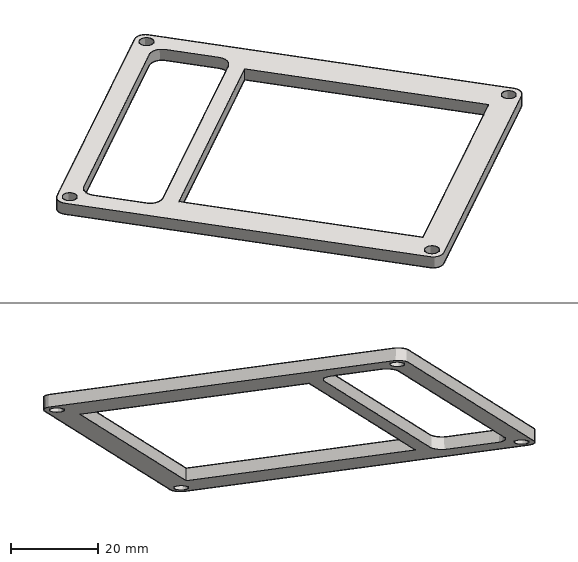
import cadquery as cq

length = 91.8
width = 73.5
thickness = 3.0
corner_radius = 2.6

hole_diameter = 3.4
hole_inset = 2.9

window_size = 57.8
window_right_margin = 6.3
window_front_margin = 7.5

slot_length = 18.7
slot_width = 63.5
slot_left_margin = 5.0
slot_corner_radius = 3.0


def make_plate():
    """Flat plate with rounded corners, centred on the XY origin."""
    plate = cq.Workplane("XY").box(length, width, thickness, centered=(True, True, False))
    return plate.edges("|Z").fillet(corner_radius)


def make_screw_holes():
    """One through hole near each corner."""
    return (
        cq.Workplane("XY")
        .rect(length - 2 * hole_inset, width - 2 * hole_inset, forConstruction=True)
        .vertices()
        .circle(hole_diameter / 2)
        .extrude(thickness)
    )


def make_window():
    """Sharp-cornered square opening."""
    center_x = length / 2 - window_right_margin - window_size / 2
    center_y = -width / 2 + window_front_margin + window_size / 2
    return cq.Workplane("XY").center(center_x, center_y).rect(window_size, window_size).extrude(thickness)


def make_slot():
    """Long opening with rounded corners beside the window."""
    center_x = -length / 2 + slot_left_margin + slot_length / 2
    slot = cq.Workplane("XY").center(center_x, 0).rect(slot_length, slot_width).extrude(thickness)
    return slot.edges("|Z").fillet(slot_corner_radius)


result = make_plate().cut(make_screw_holes()).cut(make_window()).cut(make_slot())